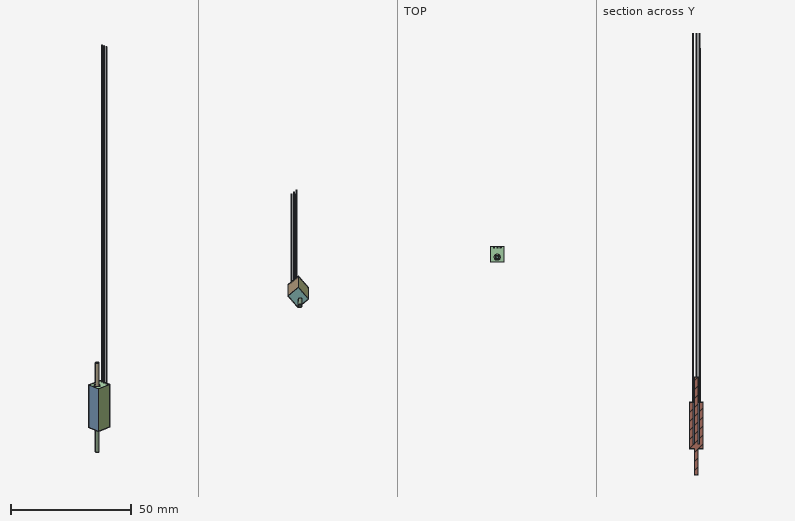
import cadquery as cq

housing_width = 5.69
housing_depth = 6.58
housing_height = 19.3

bore_diameter = 2.55
bore_floor_thickness = 2.0

rod_diameter = 1.58
rod_above_housing = 10.45
rod_below_housing = 10.87
rod_end_chamfer = 0.25
rod_to_front_face = 2.085

overall_height = 182.54
wire_diameter = 0.48
conductor_diameter = 0.4
stripped_length = 6.2
wire_to_back_face = 0.56
wire_count = 3
wire_pitch = 1.345
wire_row_center_x = 0.07
wire_depth_in_housing = 1.0

front_face_y = -housing_depth / 2
back_face_y = housing_depth / 2
rod_y = front_face_y + rod_to_front_face
rod_bottom_z = -rod_below_housing
rod_top_z = housing_height + rod_above_housing
wire_y = back_face_y - wire_to_back_face
wire_bottom_z = housing_height - wire_depth_in_housing
wire_top_z = rod_bottom_z + overall_height


def cylinder(diameter, x, y, bottom_z, top_z):
    """Vertical cylinder between two heights."""
    base = cq.Workplane("XY", origin=(x, y, bottom_z))
    return base.circle(diameter / 2).extrude(top_z - bottom_z)


def make_housing():
    block = cq.Workplane("XY").box(
        housing_width, housing_depth, housing_height, centered=(True, True, False)
    )
    bore = cylinder(bore_diameter, 0, rod_y, bore_floor_thickness, housing_height)
    return block.cut(bore)


def make_rod():
    rod = cylinder(rod_diameter, 0, rod_y, rod_bottom_z, rod_top_z)
    return rod.edges("%CIRCLE").chamfer(rod_end_chamfer)


def make_wire(x):
    """One lead: an insulated length with the bare conductor standing out of its end."""
    insulation = cylinder(
        wire_diameter, x, wire_y, wire_bottom_z, wire_top_z - stripped_length
    )
    conductor = cylinder(conductor_diameter, x, wire_y, wire_bottom_z, wire_top_z)
    return insulation.union(conductor)


result = make_housing().union(make_rod())
for index in range(wire_count):
    wire_x = wire_row_center_x + (index - (wire_count - 1) / 2) * wire_pitch
    result = result.union(make_wire(wire_x))